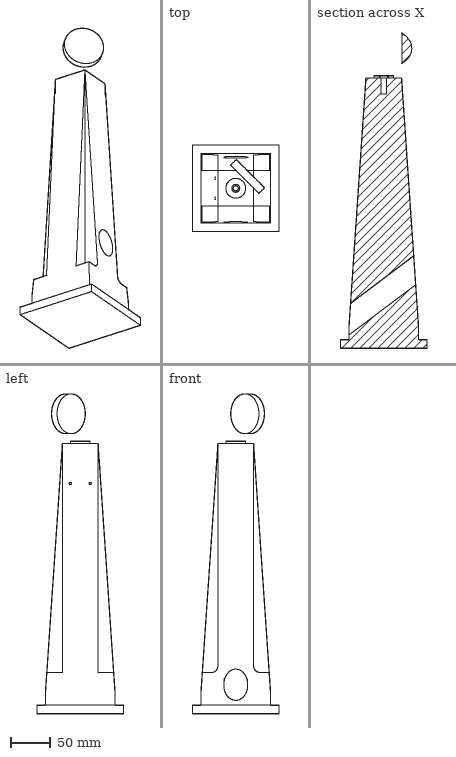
import cadquery as cq
import math

base_width = 110.0
base_height = 11.0
plinth_width = 88.5
plinth_height = 16.5
plinth_top = base_height + plinth_height

shaft_top_width = 45.5
shaft_top = 342.5
shaft_height = shaft_top - plinth_top

notch_floor = 52.3
notch_inner = shaft_top_width / 2
notch_size = plinth_width / 2
notch_fillet = 8.0

bore_diameter = 30.5
bore_angle = 37.0
bore_entry_height = 36.0
bore_length = 3 * plinth_width

side_hole_diameter = 3.0
side_hole_spacing = 25.0
side_hole_height = 292.0
side_hole_depth = 8.0

collar_diameter = 25.0
collar_height = 3.0
recess_diameter = 10.0
center_hole_diameter = 6.5
center_hole_depth = 20.3

disc_diameter = 50.5
disc_thickness = 10.0
disc_offset = 15.0
disc_center_height = 405.5 - disc_diameter / 2
disc_direction = (1, 1, 0)


def make_blank():
    """Base slab under a straight plinth and tapered shaft, which the inclined bore crosses."""
    base = cq.Workplane("XY").rect(base_width, base_width).extrude(base_height)
    plinth = (
        cq.Workplane("XY", origin=(0, 0, base_height))
        .rect(plinth_width, plinth_width)
        .extrude(plinth_height)
    )
    shaft = (
        cq.Workplane("XY", origin=(0, 0, plinth_top))
        .rect(plinth_width, plinth_width)
        .workplane(offset=shaft_height)
        .rect(shaft_top_width, shaft_top_width)
        .loft(ruled=True)
    )
    body = plinth.union(shaft).cut(make_inclined_bore())
    return base.union(body)


def make_corner_notch(x_side, y_side):
    """Cutter for one corner, rounded where its floor meets its X wall."""
    center = notch_inner + notch_size / 2
    cutter = (
        cq.Workplane("XY", origin=(center, center, notch_floor))
        .rect(notch_size, notch_size)
        .extrude(shaft_top - notch_floor)
        .edges("<X and <Z")
        .fillet(notch_fillet)
    )
    if x_side < 0:
        cutter = cutter.mirror("YZ")
    if y_side < 0:
        cutter = cutter.mirror("XZ")
    return cutter


def make_inclined_bore():
    """Cylinder in the YZ plane whose axis passes through the front opening."""
    angle = math.radians(bore_angle)
    direction = cq.Vector(0, math.cos(angle), math.sin(angle))
    entry = cq.Vector(0, -plinth_width / 2, bore_entry_height)
    start = entry - direction * (bore_length / 2)
    return cq.Solid.makeCylinder(bore_diameter / 2, bore_length, start, direction)


def make_side_hole(y):
    """Cutter for a horizontal blind hole in the sloping -X face."""
    height_fraction = (side_hole_height - plinth_top) / shaft_height
    face_x = -(plinth_width + (shaft_top_width - plinth_width) * height_fraction) / 2
    length = 2 * side_hole_depth
    start = cq.Vector(face_x - side_hole_depth, y, side_hole_height)
    return cq.Solid.makeCylinder(side_hole_diameter / 2, length, start, cq.Vector(1, 0, 0))


def make_pillar():
    pillar = make_blank()
    for x_side in (-1, 1):
        for y_side in (-1, 1):
            pillar = pillar.cut(make_corner_notch(x_side, y_side))
    for side in (-1, 1):
        pillar = pillar.cut(make_side_hole(side * side_hole_spacing / 2))
    center_hole = (
        cq.Workplane("XY", origin=(0, 0, shaft_top))
        .circle(center_hole_diameter / 2)
        .extrude(-center_hole_depth)
    )
    return pillar.cut(center_hole)


def make_collar():
    return (
        cq.Workplane("XY", origin=(0, 0, shaft_top))
        .circle(collar_diameter / 2)
        .circle(recess_diameter / 2)
        .extrude(collar_height)
    )


def make_disc():
    normal = cq.Vector(*disc_direction).normalized()
    center = cq.Vector(disc_offset, disc_offset, disc_center_height)
    plane = cq.Plane(origin=center - normal * (disc_thickness / 2), xDir=(0, 0, 1), normal=normal)
    return cq.Workplane(plane).circle(disc_diameter / 2).extrude(disc_thickness)


pillar = make_pillar()
collar = make_collar()
disc = make_disc()

result = cq.Compound.makeCompound([pillar.val(), collar.val(), disc.val()])